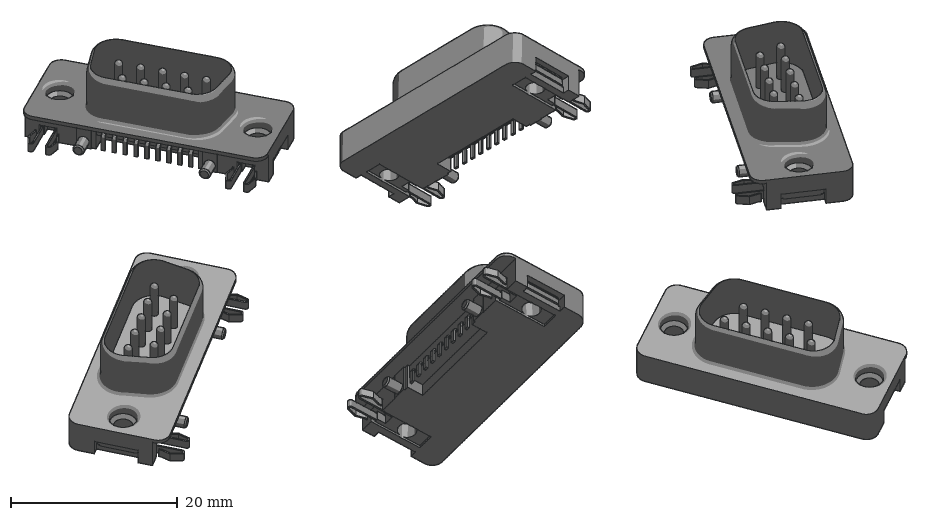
import cadquery as cq
import math

LENGTH = 30.8
TOTAL_DEPTH = 14.25
FLANGE_DEPTH = 12.6
FLANGE_BOTTOM = 3.88
FLANGE_TOP = 4.38
CORNER_RADIUS = 1.5
BACK_Y = FLANGE_DEPTH / 2
BODY_FRONT_Y = -4.53

TOTAL_HEIGHT = 10.45
SHELL_HALF_DEPTH = 4.62
SHELL_MIDDLE_HALF_LENGTH = 8.75
SHELL_TAPER_ANGLE = 10
SHELL_CORNER_RADIUS = 3.05
SHELL_WALL = 0.45
SHELL_RIM_RADIUS = 1.1
SHELL_FOOT_RADIUS = 0.45
SHELL_FLARE = 0.12
FLARE_LIP = 0.03

PIN_PITCH = 2.77
PIN_RADIUS = 0.5
PIN_TIP_Z = 9.27
PIN_ROWS = [(5, 1.42), (4, -1.42)]

HOLE_X = 12.5
HOLE_RADIUS = 1.17
BORE_RADIUS = 1.65
MOUTH_RADIUS = 0.5
BORE_BOTTOM = 3.17
CONE_BOTTOM = 2.75

POCKET_LENGTH = 5.48
POCKET_HEIGHT = 2.05
POCKET_DEPTH = 0.65
POCKET_FOOT_DEPTH = 0.85
BAR_RADIUS = 0.75
BAR_BOTTOM = 0.85
BAR_TOP = 1.75
BAR_STEP = 0.1
BAR_ROOT = 0.03

SLOT_WIDTH = 2.25
SLOT_HEIGHT = 2.03
CLIP_BOTTOM = 0.37
LEG_TOP = 1.75
LEG_INNER = 0.65
LEG_FRONT_Y = -3.95
TINE_TOP = 1.5
TINE_INNER = 0.77
TINE_END = 1.55
TINE_KINK = 1.88
TINE_TIP = 1.42
TINE_TIP_Y = BACK_Y - TOTAL_DEPTH
TINE_KINK_Y = -6.4
TINE_BEND_Y = -5.27
TINE_END_Y = -4.9
TINE_THICKNESS = 0.2
TINE_TIP_RADIUS = 0.3

POST_X = 7.98
POST_Z = 0.9
POST_RADIUS = 0.7
POST_END_Y = -6.7
POST_CHAMFER = 0.2
PAD_OUTER_X = 8.9
PAD_INNER_X = 7.02
PAD_FRONT_Y = -4.6

STEP_FRONT_Y = -4.4
RECESS_HALF_LENGTH = 6.47
RECESS_WALL_Y = -4.13
RECESS_HEIGHT = 1.85
RECESS_BACK_Y = -2.15

TAIL_COUNT = sum(count for count, row_y in PIN_ROWS)
TAIL_PITCH = PIN_PITCH / 2
TAIL_WIDTH = 0.5
TAIL_THICKNESS = 0.28
TAIL_BOTTOM = 0.1
TAIL_TOP = 2.35
TAIL_BEND_RADIUS = 0.5
TAIL_FRONT_Y = PAD_FRONT_Y


def box(x_range, y_range, z_range):
    """Box between the given limits on each axis."""
    corner = (x_range[0], y_range[0], z_range[0])
    size = (x_range[1] - x_range[0], y_range[1] - y_range[0], z_range[1] - z_range[0])
    return cq.Workplane("XY").box(*size, centered=False).translate(corner)


def row(count, pitch):
    """Positions of evenly spaced items, centred on zero."""
    return [(i - (count - 1) / 2) * pitch for i in range(count)]


def both_ends(shape):
    """The shape together with its mirror image on the other side of the YZ plane."""
    return shape.union(shape.mirror("YZ"))


def make_body():
    flange = (
        cq.Workplane("XY", origin=(0, 0, FLANGE_BOTTOM))
        .rect(LENGTH, FLANGE_DEPTH)
        .extrude(FLANGE_TOP - FLANGE_BOTTOM)
        .edges("|Z").fillet(CORNER_RADIUS)
    )
    insulator = box((-LENGTH / 2, LENGTH / 2), (BODY_FRONT_Y, BACK_Y), (0, FLANGE_BOTTOM))
    insulator = insulator.edges("|Z and >Y").fillet(CORNER_RADIUS)
    return insulator.union(flange)


def shell_prism(inset, bottom, top):
    """Solid D-shaped prism following the outer outline of the shell, moved inwards by inset."""
    slope = math.radians(SHELL_TAPER_ANGLE)
    half_depth = SHELL_HALF_DEPTH - inset
    middle_half_length = SHELL_MIDDLE_HALF_LENGTH - inset / math.cos(slope)
    back_half_length = middle_half_length + half_depth * math.tan(slope)
    front_half_length = middle_half_length - half_depth * math.tan(slope)
    return (
        cq.Workplane("XY", origin=(0, 0, bottom))
        .polyline([
            (-back_half_length, half_depth),
            (back_half_length, half_depth),
            (front_half_length, -half_depth),
            (-front_half_length, -half_depth),
        ])
        .close()
        .extrude(top - bottom)
        .edges("|Z").fillet(SHELL_CORNER_RADIUS - inset)
    )


def add_shell(body):
    rim_rise = math.sqrt(SHELL_RIM_RADIUS**2 - (SHELL_RIM_RADIUS - SHELL_WALL)**2)
    block_top = TOTAL_HEIGHT - rim_rise + SHELL_RIM_RADIUS
    block = shell_prism(0, FLANGE_BOTTOM, block_top)
    block = block.faces(">Z").edges().fillet(SHELL_RIM_RADIUS)

    margin = 0.03
    reach_x = HOLE_X - HOLE_RADIUS
    reach_y = BACK_Y - margin
    foot = cq.selectors.BoxSelector(
        (-reach_x, -reach_y, FLANGE_TOP - margin),
        (reach_x, reach_y, FLANGE_TOP + margin),
    )
    body = body.union(block).edges(foot).fillet(SHELL_FOOT_RADIUS)

    cavity = shell_prism(SHELL_WALL, FLANGE_TOP, block_top)
    flare_top = FLANGE_TOP + SHELL_FOOT_RADIUS
    flare = (
        shell_prism(SHELL_WALL - SHELL_FLARE, FLANGE_TOP, flare_top)
        .faces(">Z").edges().chamfer(SHELL_FOOT_RADIUS - FLARE_LIP, SHELL_FLARE)
    )
    return body.cut(cavity).cut(flare)


def add_mating_pins(body):
    for count, row_y in PIN_ROWS:
        places = [(x, row_y) for x in row(count, PIN_PITCH)]
        pins = (
            cq.Workplane("XY", origin=(0, 0, FLANGE_BOTTOM))
            .pushPoints(places)
            .circle(PIN_RADIUS)
            .extrude(PIN_TIP_Z - PIN_RADIUS - FLANGE_BOTTOM)
        )
        tips = (
            cq.Workplane("XY", origin=(0, 0, PIN_TIP_Z - PIN_RADIUS))
            .pushPoints(places)
            .sphere(PIN_RADIUS)
        )
        body = body.union(pins).union(tips)
    return body


def mounting_hole():
    """Solid of revolution removed at each ear: rounded mouth, bore, cone and through hole."""
    mouth_bottom = FLANGE_TOP - MOUTH_RADIUS
    mouth_middle = MOUTH_RADIUS * (1 - math.sqrt(0.5))
    return (
        cq.Workplane("XZ")
        .moveTo(0, 0)
        .lineTo(HOLE_RADIUS, 0)
        .lineTo(HOLE_RADIUS, CONE_BOTTOM)
        .lineTo(BORE_RADIUS, BORE_BOTTOM)
        .lineTo(BORE_RADIUS, mouth_bottom)
        .threePointArc(
            (BORE_RADIUS + mouth_middle, FLANGE_TOP - mouth_middle),
            (BORE_RADIUS + MOUTH_RADIUS, FLANGE_TOP),
        )
        .lineTo(0, FLANGE_TOP)
        .close()
        .revolve(360, (0, 0), (0, 1))
        .translate((HOLE_X, 0, 0))
    )


def side_pocket():
    """Volume removed from the outer side of an ear, leaving the round-cornered bar."""
    end_x = LENGTH / 2
    face_x = end_x - POCKET_DEPTH
    back_x = face_x - BAR_RADIUS
    half = POCKET_LENGTH / 2

    def bar(x_front, z_range):
        block = box((back_x, x_front), (-half, half), z_range)
        return block.edges("|Z and >X").fillet(x_front - back_x - BAR_ROOT)

    lower = box((end_x - POCKET_FOOT_DEPTH, end_x), (-half, half), (0, BAR_BOTTOM))
    upper = box((back_x, end_x), (-half, half), (BAR_BOTTOM, POCKET_HEIGHT))
    upper = upper.cut(bar(face_x, (BAR_BOTTOM, BAR_TOP)))
    upper = upper.cut(bar(face_x - BAR_STEP, (BAR_TOP, POCKET_HEIGHT)))
    return lower.union(upper)


def clip_slot():
    """Slot in the front of an ear, with a shallow groove running on below the ear."""
    x_range = (HOLE_X - SLOT_WIDTH / 2, HOLE_X + SLOT_WIDTH / 2)
    half = POCKET_LENGTH / 2
    slot = box(x_range, (PAD_FRONT_Y, -half), (0, SLOT_HEIGHT))
    groove = box(x_range, (-half, half), (0, CLIP_BOTTOM))
    return slot.union(groove)


def tine_profile(end_y):
    """Prism with the outer outline of a folded tine whose free end lies at end_y."""
    return (
        cq.Workplane("XY", origin=(0, 0, CLIP_BOTTOM))
        .polyline([
            (TINE_INNER, end_y),
            (TINE_INNER, TINE_TIP_Y),
            (TINE_TIP, TINE_TIP_Y),
            (TINE_KINK, TINE_KINK_Y),
            (TINE_END, TINE_BEND_Y),
            (TINE_END, end_y),
        ])
        .close()
        .extrude(TINE_TOP - CLIP_BOTTOM)
        .edges("|Z and <Y").fillet(TINE_TIP_RADIUS)
    )


def clip_prong():
    """One prong of a clip, on its +X side: a leg in the slot, a strip and a folded spring tine."""
    leg_back_y = -POCKET_LENGTH / 2
    leg = box((LEG_INNER, SLOT_WIDTH / 2), (LEG_FRONT_Y, leg_back_y), (CLIP_BOTTOM, LEG_TOP))
    strip = box(
        (TINE_INNER, TINE_INNER + TINE_THICKNESS),
        (TINE_END_Y, leg_back_y),
        (CLIP_BOTTOM, TINE_TOP),
    )
    opening = (
        tine_profile(TINE_END_Y + TINE_THICKNESS)
        .faces("<Z").wires().toPending()
        .offset2D(-TINE_THICKNESS)
        .extrude(TINE_TOP - CLIP_BOTTOM, combine=False)
    )
    return leg.union(strip).union(tine_profile(TINE_END_Y).cut(opening))


def add_clips(body):
    prongs = both_ends(clip_prong()).translate((HOLE_X, 0, 0))
    return body.cut(both_ends(clip_slot())).union(both_ends(prongs))


def tail_recess():
    """Volume removed from the front between the pads: a shallow step, then the tail recess."""
    front = PAD_FRONT_Y
    step = box((-PAD_INNER_X, PAD_INNER_X), (front, STEP_FRONT_Y), (0, FLANGE_BOTTOM))
    wall = box(
        (-RECESS_HALF_LENGTH, RECESS_HALF_LENGTH), (front, RECESS_WALL_Y), (0, FLANGE_BOTTOM)
    )
    undercut = box(
        (-RECESS_HALF_LENGTH, RECESS_HALF_LENGTH), (front, RECESS_BACK_Y), (0, RECESS_HEIGHT)
    )
    return step.union(wall).union(undercut)


def locating_post():
    """Pad and chamfered post on the +X side."""
    pad = box((PAD_INNER_X, PAD_OUTER_X), (PAD_FRONT_Y, BODY_FRONT_Y), (0, FLANGE_BOTTOM))
    post = (
        cq.Workplane("XZ", origin=(POST_X, BODY_FRONT_Y, POST_Z))
        .circle(POST_RADIUS)
        .extrude(BODY_FRONT_Y - POST_END_Y)
        .faces("<Y").chamfer(POST_CHAMFER)
    )
    return pad.union(post)


def add_solder_tails(body):
    """Add a row of bent tails running from the recess wall down to the board."""
    back_y = RECESS_BACK_Y
    tail = (
        cq.Workplane("YZ")
        .moveTo(TAIL_FRONT_Y, TAIL_BOTTOM)
        .lineTo(TAIL_FRONT_Y, TAIL_TOP)
        .lineTo(back_y, TAIL_TOP)
        .lineTo(back_y, TAIL_TOP - TAIL_THICKNESS)
        .lineTo(TAIL_FRONT_Y + TAIL_THICKNESS, TAIL_TOP - TAIL_THICKNESS)
        .lineTo(TAIL_FRONT_Y + TAIL_THICKNESS, TAIL_BOTTOM)
        .close()
        .extrude(TAIL_WIDTH / 2, both=True)
        .edges("|X and <Y and >Z").fillet(TAIL_BEND_RADIUS)
    )
    for x in row(TAIL_COUNT, TAIL_PITCH):
        body = body.union(tail.translate((x, 0, 0)))
    return body


body = add_shell(make_body())
body = add_mating_pins(body)
body = body.cut(both_ends(mounting_hole())).cut(both_ends(side_pocket()))
body = add_clips(body)
body = body.cut(tail_recess()).union(both_ends(locating_post()))
result = add_solder_tails(body)